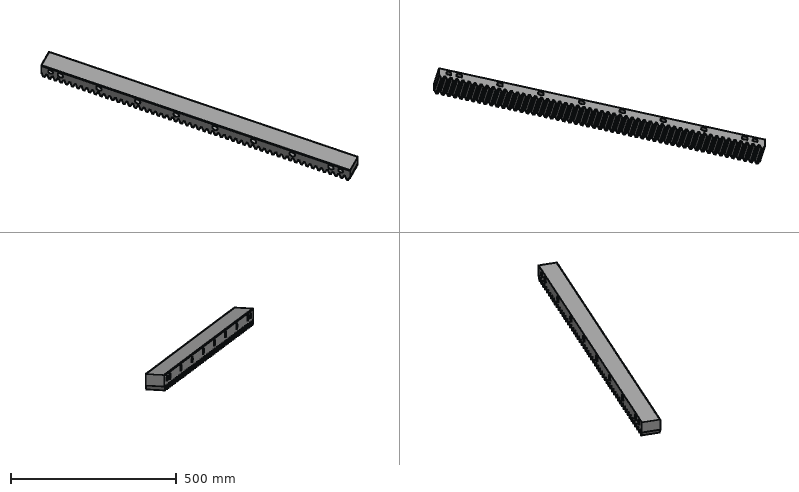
import cadquery as cq
import math

length = 1016.98
width = 59.0
height = 49.0
edge_chamfer = 2.0

module = 6.0
tooth_count = 54
pressure_angle = math.radians(20)
pitch = math.pi * module
addendum = module
dedendum = 1.25 * module
tooth_depth = addendum + dedendum
tip_half_width = pitch / 4 - addendum * math.tan(pressure_angle)
root_half_width = pitch / 4 + dedendum * math.tan(pressure_angle)

toothed_length = tooth_count * pitch
end_trim = (toothed_length - length) / 2

hole_drop = 16.0
hole_height = height - hole_drop
bolt_hole_count = 8
bolt_hole_diameter = 18.0
bolt_hole_spacing = toothed_length / bolt_hole_count
first_bolt_x = bolt_hole_spacing / 2 - end_trim
pin_hole_diameter = 15.7
pin_offset = 32.2


def rack_body():
    """Toothed outline in XZ, extruded along +Y, with the front top edge chamfered."""
    outline = [(0, height), (0, tooth_depth)]
    for tooth in range(tooth_count):
        center = (tooth + 0.5) * pitch - end_trim
        outline += [
            (center - root_half_width, tooth_depth),
            (center - tip_half_width, 0),
            (center + tip_half_width, 0),
            (center + root_half_width, tooth_depth),
        ]
    outline += [(length, tooth_depth), (length, height)]
    body = cq.Workplane("XZ").polyline(outline).close().extrude(-width)
    return body.faces("<Y").edges(">Z").chamfer(edge_chamfer)


def through_holes(x_positions, diameter):
    """Cylinders along Y through the full width, all at the hole height."""
    centers = [(x, hole_height) for x in x_positions]
    return cq.Workplane("XZ").pushPoints(centers).circle(diameter / 2).extrude(-width)


bolt_xs = [first_bolt_x + i * bolt_hole_spacing for i in range(bolt_hole_count)]
pin_xs = [bolt_xs[0] - pin_offset, bolt_xs[-1] + pin_offset]

result = (
    rack_body()
    .cut(through_holes(bolt_xs, bolt_hole_diameter))
    .cut(through_holes(pin_xs, pin_hole_diameter))
)